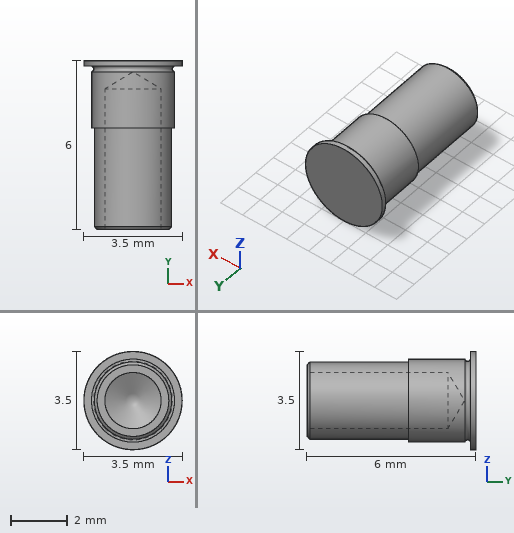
import cadquery as cq
import math

length = 6.0
flange_diameter = 3.5
flange_thickness = 0.2
body_diameter = 2.95
body_end_from_flange_face = 2.4
barrel_diameter = 2.75
end_chamfer = 0.1

groove_width = 0.2
groove_depth = 0.08

bore_diameter = 2.0
bore_depth = 5.0
drill_point_angle = 118.0

flange_radius = flange_diameter / 2
body_radius = body_diameter / 2
barrel_radius = barrel_diameter / 2
bore_radius = bore_diameter / 2

flange_start = length - flange_thickness
groove_start = flange_start - groove_width
groove_middle = flange_start - groove_width / 2
body_start = length - body_end_from_flange_face
point_height = bore_radius / math.tan(math.radians(drill_point_angle / 2))


def revolve_about_y(half_profile):
    """Turn a closed half profile in the XY plane fully around the Y axis."""
    return half_profile.close().revolve(360, (0, 0, 0), (0, 1, 0))


def make_outer_body():
    """Stepped solid: chamfered barrel, wider body, relief groove and flange."""
    profile = (
        cq.Workplane("XY")
        .lineTo(barrel_radius - end_chamfer, 0)
        .lineTo(barrel_radius, end_chamfer)
        .lineTo(barrel_radius, body_start)
        .lineTo(body_radius, body_start)
        .lineTo(body_radius, groove_start)
        .threePointArc((body_radius - groove_depth, groove_middle), (body_radius, flange_start))
        .lineTo(flange_radius, flange_start)
        .lineTo(flange_radius, length)
        .lineTo(0, length)
    )
    return revolve_about_y(profile)


def make_bore():
    """Cutter for the blind bore: a cylinder ending in a cone."""
    profile = (
        cq.Workplane("XY")
        .lineTo(bore_radius, 0)
        .lineTo(bore_radius, bore_depth)
        .lineTo(0, bore_depth + point_height)
    )
    return revolve_about_y(profile)


result = make_outer_body().cut(make_bore())